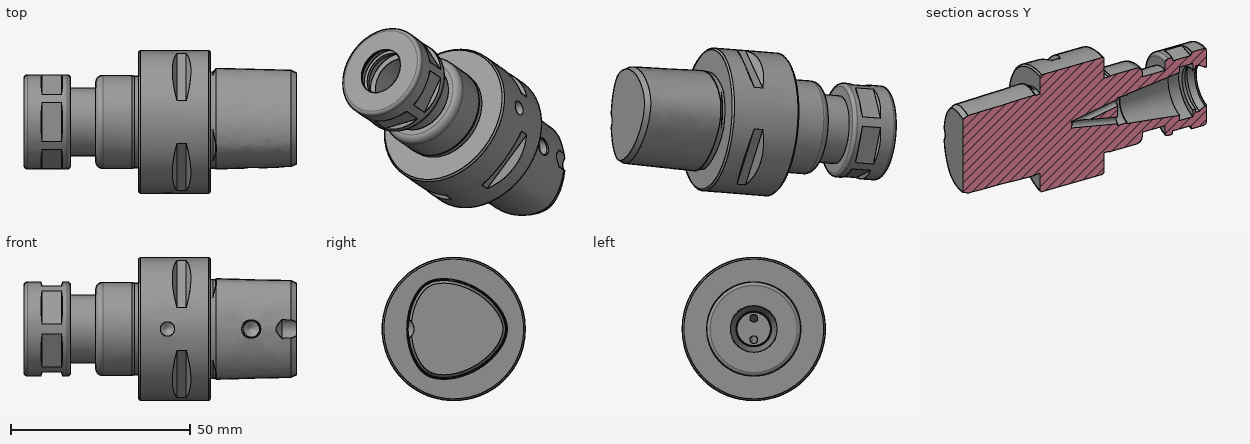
import cadquery as cq
import math


nut_front = -52.0
nut_length = 13.0
collar_start = -32.0
collar_length = 10.15
flange_length = 20.0
shank_length = 24.0

nut_diameter = 26.3
nut_edge_radius = 1.0
flat_count = 6
flat_across = 24.0
flat_start = 5.05
flat_length = 5.4
flat_wall_spread = 0.35

neck_diameter = 19.0
collar_diameter = 26.0
collar_edge_radius = 2.0
relief_diameter = 25.6
relief_chamfer_length = 0.6
flange_diameter = 40.0
flange_chamfer = 0.5

notch_count = 4
notch_floor_radius = 17.7
notch_center_x = -8.05
notch_floor_width = 2.55
notch_wall_angle = 30.0

dimple_diameter = 4.0
dimple_center_x = -12.0
dimple_depth = 2.2
drill_point_angle = 118.0

shank_start = 1.5
shank_radius = 14.05
lobe_height = 0.93
shank_taper = 1 / 40
shank_end_chamfer_length = 1.6
shank_end_chamfer_height = 0.75
shank_undercut = 0.2
section_points = 72
undercut_radius = 14.0
undercut_ring_length = 0.7

cross_hole_diameter = 4.6
cross_hole_rim_diameter = 5.4
cross_hole_rim_depth = 0.4
cross_hole_depth = 3.0
cross_hole_x = 11.4
end_notch_radius = 3.1
end_notch_axis_y = -14.2
end_notch_start = 19.9

mouth_diameter = 13.0
mouth_depth = 0.5
groove_diameter = 15.5
groove_start = 2.25
groove_end = 3.4
rib_diameter = 13.5
rib_end = 4.35
chamber_diameter = 18.0
chamber_end = 8.4
taper_mouth_diameter = 14.5
taper_end_diameter = 9.9
taper_half_angle = 8.0
pilot_diameter = 9.3
pilot_length = 3.0

coolant_diameter = 2.1
coolant_offset = 3.0
coolant_tilt = 12.0

taper_length = (taper_mouth_diameter - taper_end_diameter) / 2 / math.tan(math.radians(taper_half_angle))
taper_end = chamber_end + taper_length
bore_depth = taper_end + pilot_length


def revolve_profile(points):
    """Solid of revolution about X from (x, radius) corners, closed along the axis."""
    outline = points + [(points[-1][0], 0)]
    if points[0][1] > 0:
        outline.append((points[0][0], 0))
    return cq.Workplane("XY").polyline(outline).close().revolve(360, (0, 0, 0), (1, 0, 0))


def cylinder_x(start, length, radius):
    return cq.Workplane("YZ", origin=(start, 0, 0)).circle(radius).extrude(length)


def drill_point_length(radius):
    return radius / math.tan(math.radians(drill_point_angle / 2))


def make_nut():
    nut = cylinder_x(nut_front, nut_length, nut_diameter / 2)
    nut = nut.edges().fillet(nut_edge_radius)
    floor = flat_across / 2
    top = nut_diameter / 2
    left = nut_front + flat_start
    right = left + flat_length
    flat_cut = (
        cq.Workplane("XZ")
        .polyline([
            (left, floor),
            (left - flat_wall_spread, top),
            (right + flat_wall_spread, top),
            (right, floor),
        ])
        .close()
        .extrude(top, both=True)
    )
    for i in range(flat_count):
        nut = nut.cut(flat_cut.rotate((0, 0, 0), (1, 0, 0), i * 360 / flat_count))
    return nut


def make_neck_and_collar():
    nut_back = nut_front + nut_length
    neck = cylinder_x(nut_back, collar_start - nut_back, neck_diameter / 2)
    collar = cylinder_x(collar_start, collar_length, collar_diameter / 2)
    collar = collar.faces("<X").edges().fillet(collar_edge_radius)
    collar_end = collar_start + collar_length
    relief = revolve_profile([
        (collar_end, collar_diameter / 2),
        (collar_end + relief_chamfer_length, relief_diameter / 2),
        (-flange_length, relief_diameter / 2),
    ])
    return neck.union(collar).union(relief)


def make_flange():
    flange = cylinder_x(-flange_length, flange_length, flange_diameter / 2)
    flange = flange.edges().chamfer(flange_chamfer)
    height = flange_diameter / 2 - notch_floor_radius
    step = 360 / notch_count
    spread = height * math.tan(math.radians(notch_wall_angle))
    half_floor = notch_floor_width / 2
    notch = (
        cq.Workplane("XZ", origin=(notch_center_x, 0, notch_floor_radius))
        .polyline([
            (-half_floor, 0),
            (-half_floor - spread, height),
            (half_floor + spread, height),
            (half_floor, 0),
        ])
        .close()
        .extrude(flange_diameter / 2, both=True)
    )
    for i in range(notch_count):
        flange = flange.cut(notch.rotate((0, 0, 0), (1, 0, 0), step / 2 + i * step))
    return flange


def radial_drill(x, surface_y, radius, depth):
    """Drilled hole with a conical end, entering along +Y from the -Y side."""
    tip = drill_point_length(radius)
    floor_y = surface_y + depth
    return (
        cq.Workplane("XY")
        .polyline([(0, -flange_diameter), (radius, -flange_diameter), (radius, floor_y), (0, floor_y + tip)])
        .close()
        .revolve(360, (0, 0, 0), (0, 1, 0))
        .translate((x, 0, 0))
    )


def shank_section(x, mean_radius):
    """Three-lobed curve of constant width, with one lobe on +Y and its seam on -Y."""

    def point(t):
        angle = 2 * math.pi * t + math.pi
        outward = mean_radius + lobe_height * math.cos(3 * angle)
        sideways = -3 * lobe_height * math.sin(3 * angle)
        y = outward * math.cos(angle) - sideways * math.sin(angle)
        z = outward * math.sin(angle) + sideways * math.cos(angle)
        return (y, z)

    return cq.Workplane("YZ", origin=(x, 0, 0)).parametricCurve(point, N=section_points).val()


def shank_segment(start, start_radius, end, end_radius):
    wires = [shank_section(start, start_radius), shank_section(end, end_radius)]
    return cq.Workplane("XY").add(cq.Solid.makeLoft(wires, True))


def make_shank():
    chamfer_start = shank_length - shank_end_chamfer_length
    chamfer_radius = shank_radius - shank_taper * (chamfer_start - shank_start)
    undercut_mean = shank_radius - shank_undercut
    undercut = shank_segment(0, undercut_mean, shank_start, undercut_mean)
    body = shank_segment(shank_start, shank_radius, chamfer_start, chamfer_radius)
    tip = shank_segment(
        chamfer_start, chamfer_radius, shank_length, chamfer_radius - shank_end_chamfer_height
    )
    lobe_limit = revolve_profile([
        (0, undercut_radius),
        (undercut_ring_length, undercut_radius),
        (undercut_ring_length + flange_diameter / 2 - undercut_radius, flange_diameter / 2),
        (shank_length, flange_diameter / 2),
    ])
    return undercut.union(body).union(tip).intersect(lobe_limit)


def cross_hole():
    surface_y = -(shank_radius - lobe_height - shank_taper * (cross_hole_x - shank_start))
    hole = radial_drill(cross_hole_x, surface_y, cross_hole_diameter / 2, cross_hole_depth)
    rim = (
        cq.Workplane("XZ", origin=(cross_hole_x, surface_y + cross_hole_rim_depth, 0))
        .circle(cross_hole_diameter / 2)
        .workplane(offset=cross_hole_rim_depth)
        .circle(cross_hole_rim_diameter / 2)
        .loft()
    )
    return hole.union(rim)


def end_notch():
    """Hole along the shank, open through its -Y surface, with a 45 degree conical end."""
    return revolve_profile([
        (end_notch_start - end_notch_radius, 0),
        (end_notch_start, end_notch_radius),
        (shank_length, end_notch_radius),
    ]).translate((0, end_notch_axis_y, 0))


def collet_bore():
    stations = [
        (0, mouth_diameter),
        (mouth_depth, mouth_diameter),
        (groove_start, groove_diameter),
        (groove_end, groove_diameter),
        (groove_end, rib_diameter),
        (rib_end, rib_diameter),
        (rib_end, chamber_diameter),
        (chamber_end, chamber_diameter),
        (chamber_end, taper_mouth_diameter),
        (taper_end, taper_end_diameter),
        (taper_end, pilot_diameter),
        (bore_depth, pilot_diameter),
    ]
    return revolve_profile([(nut_front + depth, diameter / 2) for depth, diameter in stations])


def coolant_hole(side):
    """Slanted hole from the bore floor that runs down to the tool axis."""
    tilt = math.radians(coolant_tilt)
    direction = cq.Vector(math.cos(tilt), 0, -side * math.sin(tilt))
    entry = cq.Vector(nut_front + bore_depth, 0, side * coolant_offset)
    overlap = coolant_diameter
    length = coolant_offset / math.sin(tilt) + overlap
    return cq.Workplane("XY").add(
        cq.Solid.makeCylinder(coolant_diameter / 2, length, entry - direction * overlap, direction)
    )


result = make_nut().union(make_neck_and_collar()).union(make_flange()).union(make_shank())
result = result.cut(radial_drill(dimple_center_x, -flange_diameter / 2, dimple_diameter / 2, dimple_depth))
result = result.cut(cross_hole()).cut(end_notch()).cut(collet_bore())
for side in (1, -1):
    result = result.cut(coolant_hole(side))